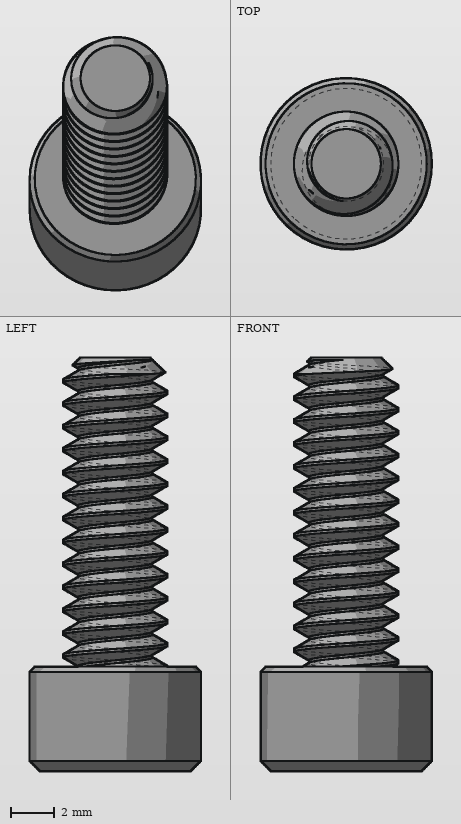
import math

import cadquery as cq

INCH = 25.4
shank_diameter = 0.190 * INCH
shank_length = 9 / 16 * INCH
tip_chamfer_height = 0.78
tip_chamfer_width = 0.81
head_diameter = 0.312 * INCH
head_height = shank_diameter
bottom_chamfer = 0.10 * head_height
bearing_chamfer = 0.05 * head_height

pitch = INCH / 24
flank_slope = math.tan(math.radians(30))
flat_width = pitch / 8
thread_depth = (pitch - 2 * flat_width) / (2 * flank_slope)
crest_height = 0.23
extra_turns = 2

shank_radius = shank_diameter / 2
root_radius = shank_radius - thread_depth


def make_head():
    head = cq.Workplane("XY").circle(head_diameter / 2).extrude(head_height)
    head = head.faces("<Z").chamfer(bottom_chamfer)
    return head.faces(">Z").chamfer(bearing_chamfer)


def make_shank_rod(radius):
    """Plain rod standing on the bearing face."""
    return cq.Workplane("XY", origin=(0, 0, head_height)).circle(radius).extrude(shank_length)


def make_thread_ridge():
    """Right-handed trapezoidal ridge, bounded by ruled faces between four helices."""
    start_z = head_height + crest_height - extra_turns * pitch
    turns = math.ceil(shank_length / pitch) + 2 * extra_turns
    ridge_rise = turns * pitch
    crest_half = flat_width / 2
    base_half = crest_half + thread_depth * flank_slope
    section = [
        (root_radius, -base_half),
        (shank_radius, -crest_half),
        (shank_radius, crest_half),
        (root_radius, base_half),
    ]
    helices = [
        cq.Wire.makeHelix(pitch, ridge_rise, radius, center=cq.Vector(0, 0, start_z + offset))
        for radius, offset in section
    ]
    faces = [cq.Face.makeRuledSurface(helices[i - 1], helices[i]) for i in range(len(helices))]
    for end_z in (start_z, start_z + ridge_rise):
        corners = [cq.Vector(radius, 0, end_z + offset) for radius, offset in section]
        faces.append(cq.Face.makeFromWires(cq.Wire.makePolygon(corners, close=True)))
    ridge = cq.Solid.makeSolid(cq.Shell.makeShell(faces))
    return cq.Workplane(obj=ridge.fix())


def make_threaded_shank():
    """Root core and ridge, each trimmed to the rod with the chamfered tip."""
    envelope = make_shank_rod(shank_radius).faces(">Z").chamfer(tip_chamfer_height, tip_chamfer_width)
    core = envelope.intersect(make_shank_rod(root_radius))
    return envelope.intersect(make_thread_ridge()).union(core)


result = make_head().union(make_threaded_shank()).solids()